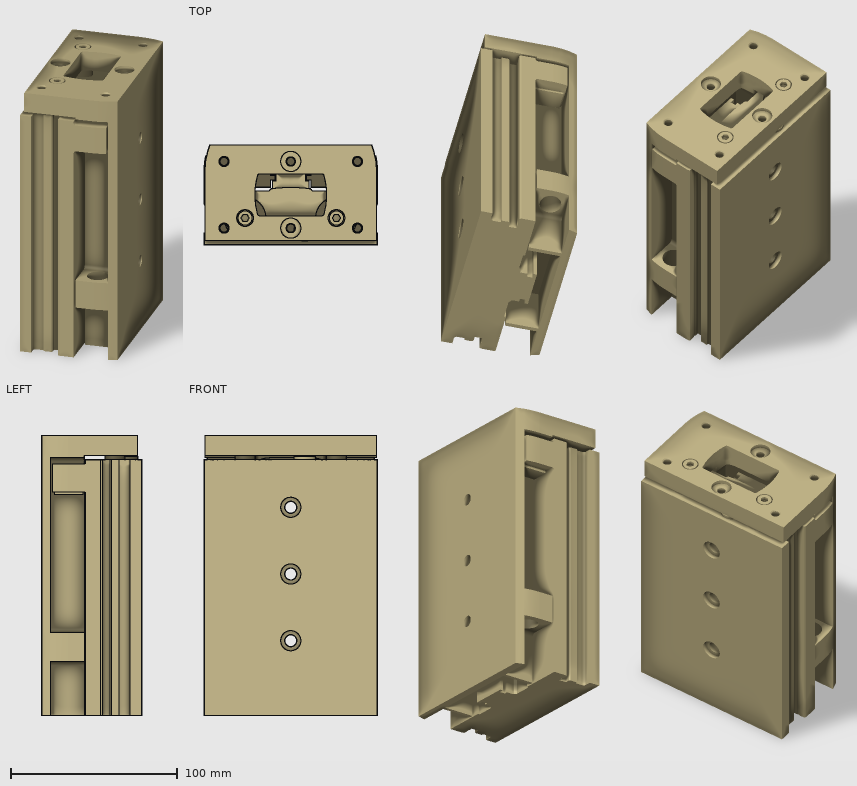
import cadquery as cq
import math

total_height = 168.0
total_depth = 60.0
hole_pitch = 40.0

slide_half_width = 51.4
slide_front_y = 2.5
back_half_width = 48.5
corner_start_y = 44.2
back_plate_inner_y = 54.6
end_plate_front_z = 155.7
end_plate_rear_z = 154.5
carriage_front_y = 34.5
spine_half_width = 31.2
cavity_half_width = 28.9
cavity_corner_radius = 16.8
carriage_bottom_z = 32.3
carriage_top_z = 49.9
spine_fillet = 2.4
carriage_bore_diameter = 13.0
carriage_bore_x = 41.0
carriage_bore_y = 45.4

window_front_y = 17.5
window_rear_y = 42.5
window_end_half_width = 19.7
window_mid_half_width = 21.5
window_corner_fillet = 1.3

rear_hole_y = 50.0
front_hole_y = rear_hole_y - hole_pitch
tapped_diameter = 4.9
corner_mouth_diameter = 6.0
sleeve_mouth_diameter = 5.5
sleeve_diameter = 12.1
sleeve_depth = 2.5

rod_x = 27.4
rod_y = 16.1
rod_diameter = 12.0
bore_diameter = 25.0
bore_recess_depth = 3.4
screw_pocket_diameter = 10.0
screw_head_diameter = 8.5
screw_pocket_depth = 1.7
socket_diameter = 4.9
socket_depth = 2.5
socket_sides = 6

body_width = 104.0
body_half_width = body_width / 2
body_height = 153.4
body_back_y = 33.6
body_recess_half_width = 24.4
body_recess_y = 32.5
mounting_plate_back_y = 7.0
plate_root_radius = 1.7
waist_half_width = 46.4
rib_half_width = 47.7
rib_front_y = 13.6
rib_back_y = 19.0
rib_chamfer = 0.8
groove_half_width = 44.0
groove_back_y = 23.7
ledge_chamfer_x = 0.5
ledge_chamfer_y = 1.2
slit_outer_half_width = 47.9
slit_inner_half_width = 46.2
slit_depth = 0.3

crown_half_width = 13.0
crown_shoulder_half_width = 11.8
crown_shoulder_y = 33.8
crown_top_y = 34.5
rail_half_width = 11.8
rail_neck_half_width = 11.1
rail_back_y = 44.0
rail_height = 149.5
rail_groove_half_width = 8.9
rail_groove_front_y = 38.5
rail_groove_back_y = 42.0
rail_clearance = 0.3

stop_inner_x = 34.0
stop_back_y = 53.5
stop_bottom_z = 134.0
stop_top_z = 150.9
stop_root_radius = 1.5
pad_outer_x = 45.4
pad_front_y = 35.1
pad_back_y = 52.5
pad_thickness = 1.5

stud_x = 8.4
stud_y = 8.7
stud_diameter = 13.0
stud_top_z = 155.4

mounting_hole_diameter = 7.0
mounting_hole_z = 84.8

corner_run = total_depth - corner_start_y
corner_inset = slide_half_width - back_half_width
corner_radius = (corner_run**2 + corner_inset**2) / (2 * corner_inset)

quarter_arc_bend = 1 - math.sqrt(0.5)


def box(x_min, x_max, y_min, y_max, z_min, z_max):
    block = cq.Workplane("XY", origin=(x_min, y_min, z_min))
    return block.box(x_max - x_min, y_max - y_min, z_max - z_min, centered=False)


def cylinder(x, y, z_min, z_max, diameter):
    return cq.Workplane("XY", origin=(x, y, z_min)).circle(diameter / 2).extrude(z_max - z_min)


def side_inset(y):
    """How far the corner arc has come in from the side face at this Y."""
    return corner_radius - math.sqrt(corner_radius**2 - (y - corner_start_y) ** 2)


def rounded_outline(half_width, front_y, back_y, z_min, z_max):
    """Plate in plan: flat front and back, with the sides curving in at the rear."""
    mid_y = (corner_start_y + back_y) / 2
    back_x = half_width - side_inset(back_y)
    mid_x = half_width - side_inset(mid_y)
    return (
        cq.Workplane("XY", origin=(0, 0, z_min))
        .moveTo(-half_width, front_y)
        .lineTo(half_width, front_y)
        .lineTo(half_width, corner_start_y)
        .threePointArc((mid_x, mid_y), (back_x, back_y))
        .lineTo(-back_x, back_y)
        .threePointArc((-mid_x, mid_y), (-half_width, corner_start_y))
        .close()
        .extrude(z_max - z_min)
    )


def rail_profile(clearance, front_y, neck):
    """Rail section with a groove along each side, grown by the clearance behind its neck."""
    outer = rail_half_width + clearance
    inner = rail_groove_half_width + clearance
    groove_front = rail_groove_front_y + clearance
    groove_back = rail_groove_back_y - clearance
    back = rail_back_y + clearance
    right_side = [
        (neck, front_y),
        (neck, groove_front),
        (inner, groove_front),
        (inner, groove_back),
        (outer, groove_back),
        (outer, back),
    ]
    left_side = [(-x, y) for x, y in reversed(right_side)]
    return cq.Workplane("XY").polyline(right_side + left_side).close()


def mounting_holes(diameter, y_min, y_max):
    """Three bores along Y on the centre plane."""
    heights = [(0, mounting_hole_z + step * hole_pitch) for step in (-1, 0, 1)]
    return (
        cq.Workplane("XZ", origin=(0, y_min, 0))
        .pushPoints(heights)
        .circle(diameter / 2)
        .extrude(y_min - y_max)
    )


def window_cutter():
    mid_y = (window_front_y + window_rear_y) / 2
    return (
        cq.Workplane("XY", origin=(0, 0, end_plate_rear_z - cavity_corner_radius))
        .moveTo(-window_end_half_width, window_front_y)
        .lineTo(window_end_half_width, window_front_y)
        .threePointArc((window_mid_half_width, mid_y), (window_end_half_width, window_rear_y))
        .lineTo(-window_end_half_width, window_rear_y)
        .threePointArc((-window_mid_half_width, mid_y), (-window_end_half_width, window_front_y))
        .close()
        .extrude(total_height - end_plate_rear_z + cavity_corner_radius)
        .edges("|Z")
        .fillet(window_corner_fillet)
    )


def tapped_hole(x, y, mouth_diameter):
    """Tapped hole through the end plate, with a chamfered mouth."""
    chamfer = (mouth_diameter - tapped_diameter) / 2
    hole = cylinder(x, y, end_plate_rear_z, total_height, tapped_diameter)
    mouth = (
        cq.Workplane("XY", origin=(x, y, total_height))
        .circle(mouth_diameter / 2)
        .workplane(offset=-chamfer)
        .circle(tapped_diameter / 2)
        .loft()
    )
    return hole.union(mouth)


def sleeve_hole(y):
    """Hole on the centre plane with a locating sleeve seat at the top."""
    floor_z = total_height - sleeve_depth
    seat = cylinder(0, y, floor_z, total_height, sleeve_diameter)
    hole = tapped_hole(0, y, sleeve_mouth_diameter).translate((0, 0, -sleeve_depth))
    return seat.union(hole)


def screw_recess(x):
    """Ring-shaped gap around a sunk screw head, with its hexagon socket."""
    floor_z = total_height - screw_pocket_depth
    pocket = cylinder(x, rod_y, floor_z, total_height, screw_pocket_diameter)
    head = cylinder(x, rod_y, floor_z, total_height, screw_head_diameter)
    socket = (
        cq.Workplane("XY", origin=(x, rod_y, total_height - socket_depth))
        .polygon(socket_sides, socket_diameter)
        .extrude(socket_depth)
    )
    return pocket.cut(head).union(socket)


def make_spine():
    """Hollow upright between end plate and carriage, with fillets at its outer sides."""
    spine = box(
        -spine_half_width, spine_half_width, carriage_front_y, back_plate_inner_y, 0, end_plate_rear_z
    )
    for side in (-1, 1):
        for plate_z, away in (
            (end_plate_rear_z, -1),
            (carriage_top_z, 1),
            (carriage_bottom_z, -1),
        ):
            edge_x = side * spine_half_width
            far_x = edge_x + side * spine_fillet
            far_z = plate_z + away * spine_fillet
            bend = spine_fillet * quarter_arc_bend
            fillet = (
                cq.Workplane("XZ", origin=(0, back_plate_inner_y, 0))
                .moveTo(edge_x, plate_z)
                .lineTo(far_x, plate_z)
                .threePointArc((edge_x + side * bend, plate_z + away * bend), (edge_x, far_z))
                .close()
                .extrude(back_plate_inner_y - carriage_front_y)
            )
            spine = spine.union(fillet)
    cavity = (
        box(
            -cavity_half_width, cavity_half_width, carriage_front_y, back_plate_inner_y, 0, end_plate_rear_z
        )
        .edges("|Y and >Z")
        .fillet(cavity_corner_radius)
    )
    return spine.cut(cavity)


def make_carriage():
    """Cross block that embraces the rail and carries two buffer bores."""
    carriage = rounded_outline(
        slide_half_width, carriage_front_y, back_plate_inner_y, carriage_bottom_z, carriage_top_z
    )
    slot = rail_profile(rail_clearance, carriage_front_y, rail_half_width + rail_clearance)
    carriage = carriage.cut(slot.extrude(carriage_top_z))
    for side in (-1, 1):
        carriage = carriage.cut(
            cylinder(
                side * carriage_bore_x, carriage_bore_y, carriage_bottom_z, carriage_top_z,
                carriage_bore_diameter,
            )
        )
    return carriage


def make_slide():
    slide = rounded_outline(slide_half_width, slide_front_y, total_depth, 0, total_height)
    slide = slide.cut(
        box(-slide_half_width, slide_half_width, slide_front_y, carriage_front_y, 0, end_plate_front_z)
    )
    slide = slide.cut(
        box(-slide_half_width, slide_half_width, carriage_front_y, back_plate_inner_y, 0, end_plate_rear_z)
    )
    slide = slide.union(make_spine()).union(make_carriage())
    slide = slide.cut(window_cutter())

    for side in (-1, 1):
        rod = cylinder(
            side * rod_x, rod_y, body_height - bore_recess_depth, end_plate_front_z, rod_diameter
        )
        slide = slide.union(rod).cut(screw_recess(side * rod_x))
        for y in (front_hole_y, rear_hole_y):
            slide = slide.cut(tapped_hole(side * hole_pitch, y, corner_mouth_diameter))
    for y in (front_hole_y, rear_hole_y):
        slide = slide.cut(sleeve_hole(y))
    return slide.cut(mounting_holes(mounting_hole_diameter, carriage_front_y, total_depth))


def body_section():
    """Section of the body: grooved sides and a crowned strip under the rail."""
    root_bend = plate_root_radius * quarter_arc_bend
    root_y = mounting_plate_back_y
    section = (
        cq.Workplane("XY")
        .moveTo(-body_half_width, 0)
        .lineTo(body_half_width, 0)
        .lineTo(body_half_width, root_y)
        .lineTo(waist_half_width + plate_root_radius, root_y)
        .threePointArc(
            (waist_half_width + root_bend, root_y + root_bend),
            (waist_half_width, root_y + plate_root_radius),
        )
    )
    right_side = [
        (waist_half_width, rib_front_y),
        (rib_half_width, rib_front_y),
        (rib_half_width, rib_back_y - rib_chamfer),
        (rib_half_width - rib_chamfer, rib_back_y),
        (groove_half_width, rib_back_y),
        (groove_half_width, groove_back_y),
        (slit_inner_half_width, groove_back_y),
        (slit_inner_half_width, groove_back_y + slit_depth),
        (slit_outer_half_width, groove_back_y + slit_depth),
        (slit_outer_half_width, groove_back_y),
        (body_half_width - ledge_chamfer_x, groove_back_y),
        (body_half_width, groove_back_y + ledge_chamfer_y),
        (body_half_width, body_back_y),
        (body_recess_half_width, body_back_y),
        (body_recess_half_width, body_recess_y),
        (crown_half_width, body_recess_y),
        (crown_shoulder_half_width, crown_shoulder_y),
    ]
    for point in right_side:
        section = section.lineTo(*point)
    section = section.threePointArc(
        (0, crown_top_y), (-crown_shoulder_half_width, crown_shoulder_y)
    )
    for x, y in reversed(right_side[:-1]):
        section = section.lineTo(-x, y)
    return (
        section.lineTo(-waist_half_width, root_y + plate_root_radius)
        .threePointArc(
            (-waist_half_width - root_bend, root_y + root_bend),
            (-waist_half_width - plate_root_radius, root_y),
        )
        .lineTo(-body_half_width, root_y)
        .close()
    )


def make_stops():
    """Blocks behind the upper corners, filleted into the body, with a stop pad underneath."""
    stops = rounded_outline(
        body_half_width, body_back_y, stop_back_y, stop_bottom_z, stop_top_z
    )
    bend = stop_root_radius * quarter_arc_bend
    for level, away in ((stop_bottom_z, -1), (stop_top_z, 1)):
        root = (
            cq.Workplane("YZ", origin=(-body_half_width, 0, 0))
            .moveTo(body_back_y, level)
            .lineTo(body_back_y + stop_root_radius, level)
            .threePointArc(
                (body_back_y + bend, level + away * bend),
                (body_back_y, level + away * stop_root_radius),
            )
            .close()
            .extrude(2 * body_half_width)
        )
        stops = stops.union(root)
    middle = box(-stop_inner_x, stop_inner_x, body_back_y, stop_back_y, 0, body_height)
    stops = stops.cut(middle)
    for x_min, x_max in ((-pad_outer_x, -stop_inner_x), (stop_inner_x, pad_outer_x)):
        pad = box(x_min, x_max, pad_front_y, pad_back_y, stop_bottom_z - pad_thickness, stop_bottom_z)
        stops = stops.union(pad)
    return stops


def make_body():
    body = body_section().extrude(body_height)
    rail = rail_profile(0, body_recess_y, rail_neck_half_width).extrude(rail_height)
    body = body.union(rail)
    body = body.union(make_stops())
    body = body.union(cylinder(stud_x, stud_y, mounting_plate_back_y, stud_top_z, stud_diameter))
    for side in (-1, 1):
        recess = cylinder(
            side * rod_x, rod_y, body_height - bore_recess_depth, body_height, bore_diameter
        )
        body = body.cut(recess)
    body = body.cut(mounting_holes(mounting_hole_diameter, 0, rail_back_y))
    return body.cut(mounting_holes(sleeve_diameter, 0, sleeve_depth))


slide = make_slide()
body = make_body()

result = cq.Compound.makeCompound([slide.val(), body.val()])